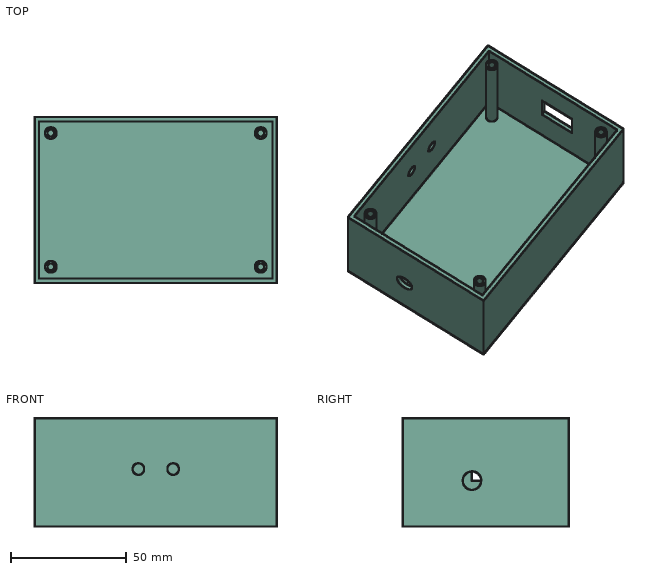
import cadquery as cq

length = 105.0
width = 72.0
height = 47.0
wall = 2.0
floor = wall

post_diameter = 5.0
post_bore = 3.0
post_inset = 7.0
post_top = height

front_hole_diameter = 5.0
front_hole_spacing = 15.0
front_hole_z = 25.0
window_width = 16.0
window_height = 12.0
window_center_y = 2.0
window_bottom_z = 20.0
cable_hole_diameter = 8.0
cable_hole_y = window_center_y - window_width / 2
cable_hole_z = window_bottom_z


def make_shell():
    outer = cq.Workplane("XY").box(length, width, height, centered=(True, True, False))
    cavity = (
        cq.Workplane("XY", origin=(0, 0, floor))
        .box(length - 2 * wall, width - 2 * wall, height, centered=(True, True, False))
    )
    return outer.cut(cavity)


def make_posts():
    """Four tubes standing on the floor, each bored down to floor level."""
    return (
        cq.Workplane("XY", origin=(0, 0, floor))
        .rect(length - 2 * post_inset, width - 2 * post_inset, forConstruction=True)
        .vertices()
        .circle(post_diameter / 2)
        .circle(post_bore / 2)
        .extrude(post_top - floor)
    )


def make_front_holes():
    """Two round holes through the -Y wall."""
    half_spacing = front_hole_spacing / 2
    return (
        cq.Workplane("XZ", origin=(0, -width / 2 + wall, front_hole_z))
        .pushPoints([(-half_spacing, 0), (half_spacing, 0)])
        .circle(front_hole_diameter / 2)
        .extrude(wall)
    )


def make_window():
    """Rectangular opening through the -X wall."""
    window_center_z = window_bottom_z + window_height / 2
    return (
        cq.Workplane("YZ", origin=(-length / 2, window_center_y, window_center_z))
        .rect(window_width, window_height)
        .extrude(wall)
    )


def make_cable_hole():
    """Round hole through the +X wall."""
    return (
        cq.Workplane("YZ", origin=(length / 2 - wall, cable_hole_y, cable_hole_z))
        .circle(cable_hole_diameter / 2)
        .extrude(wall)
    )


result = (
    make_shell()
    .union(make_posts())
    .cut(make_front_holes())
    .cut(make_window())
    .cut(make_cable_hole())
)